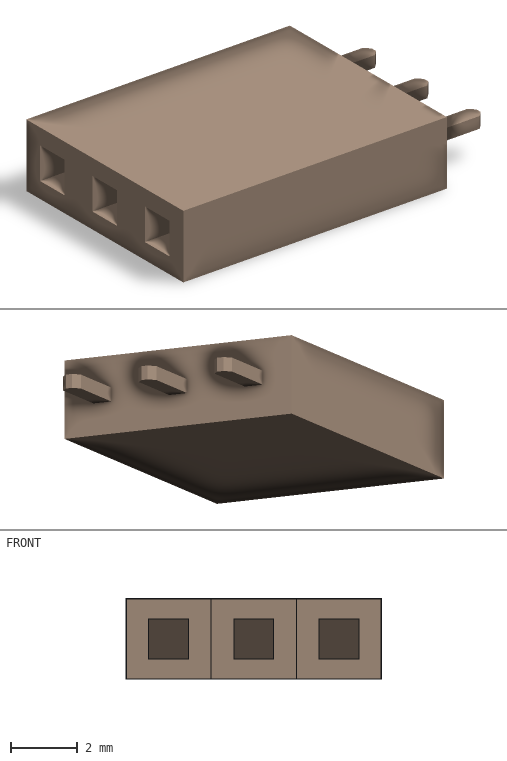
import cadquery as cq

module_count = 3
row_width = 7.62
total_length = 12.2
housing_length = 10.0
housing_height = 2.4
module_pitch = row_width / module_count

socket_side = 1.2
socket_depth = 7.32

pin_width = 0.6
pin_thickness = 0.43
pin_tip_chamfer = 0.2
pin_length = total_length - housing_length


def make_housing():
    return cq.Workplane("XY").box(
        module_pitch, housing_length, housing_height, centered=(True, False, True)
    )


def make_socket():
    return cq.Workplane("XY").box(
        socket_side, socket_depth, socket_side, centered=(True, False, True)
    )


def make_pin():
    pin = cq.Workplane("XY").box(
        pin_width, pin_length, pin_thickness, centered=(True, False, True)
    )
    pin = pin.faces(">Y").edges("|Z").chamfer(pin_tip_chamfer)
    return pin.translate((0, housing_length, 0))


def make_module(center_x):
    """One housing with its socket and its integral solder pin."""
    module = make_housing().cut(make_socket()).union(make_pin())
    return module.translate((center_x, 0, 0))


modules = []
for index in range(module_count):
    center_x = (index - (module_count - 1) / 2) * module_pitch
    modules.append(make_module(center_x))

result = cq.Compound.makeCompound([module.val() for module in modules])